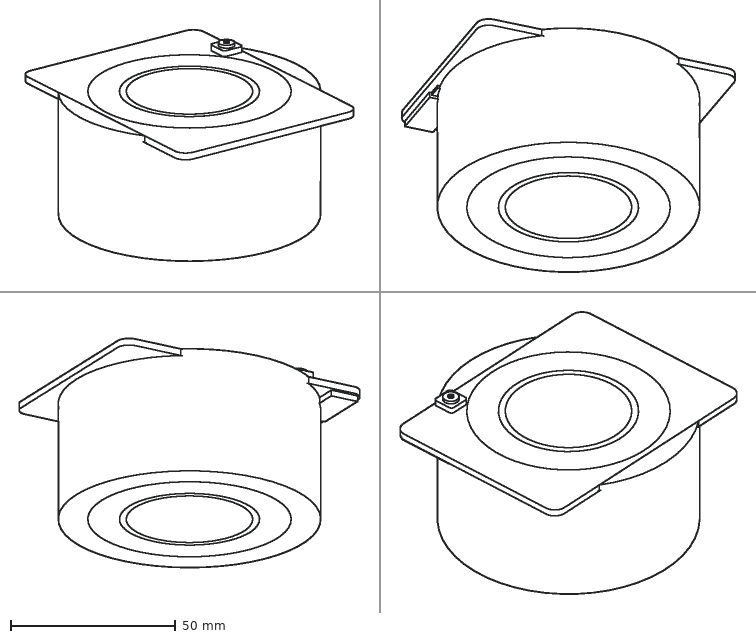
import cadquery as cq

drum_diameter = 80.0
drum_height = 40.0
bore_diameter = 62.0
ring_outer_diameter = 42.7
core_diameter = 38.5

plate_length = 85.0
plate_width = 66.0
plate_thickness = 2.2
plate_corner_radius = 4.0

large_block_x_end = -31.45
large_block_x_start = -40.7
large_block_y_start = 12.2
large_block_y_end = 31.7
large_block_depth = 1.9
small_block_x_start = -40.0
small_block_y_start = 7.6
small_block_depth = 0.9
small_block_x_end = -37.4

connector_x = -21.25
connector_y = 29.1
connector_side = 7.3
connector_corner_radius = 1.0
connector_base_height = 1.9
connector_cap_diameter = 5.0
connector_cap_height = 0.9
connector_tip_diameter = 1.8
connector_tip_height = 0.25
connector_socket_diameter = 0.9


def make_tube(outer_diameter, inner_diameter):
    """Full-height concentric tube with its top face at Z = 0."""
    return (
        cq.Workplane("XY")
        .circle(outer_diameter / 2)
        .circle(inner_diameter / 2)
        .extrude(-drum_height)
    )


def make_block(x_start, x_end, y_start, y_end, depth):
    """Rectangular block hanging from the underside of the plate."""
    return cq.Workplane("XY").box(
        x_end - x_start, y_end - y_start, depth, centered=False
    ).translate((x_start, y_start, -plate_thickness - depth))


def make_connector():
    """Square base with a round cap and a small hollow tip."""
    base = (
        cq.Workplane("XY")
        .rect(connector_side, connector_side)
        .extrude(connector_base_height)
        .edges("|Z")
        .fillet(connector_corner_radius)
    )
    return (
        base.faces(">Z").workplane()
        .circle(connector_cap_diameter / 2)
        .extrude(connector_cap_height)
        .faces(">Z").workplane()
        .circle(connector_tip_diameter / 2)
        .circle(connector_socket_diameter / 2)
        .extrude(connector_tip_height)
        .translate((connector_x, connector_y, 0))
    )


def make_board():
    """Mounting plate with a round opening, the connector on top and two blocks below."""
    plate = (
        cq.Workplane("XY")
        .rect(plate_length, plate_width)
        .extrude(-plate_thickness)
        .edges("|Z")
        .fillet(plate_corner_radius)
    )
    opening = cq.Workplane("XY").circle(bore_diameter / 2).extrude(-plate_thickness)
    large_block = make_block(
        large_block_x_start, large_block_x_end, large_block_y_start, large_block_y_end, large_block_depth
    )
    small_block = make_block(
        small_block_x_start, small_block_x_end, small_block_y_start, large_block_y_start, small_block_depth
    )
    return plate.cut(opening).union(make_connector()).union(large_block).union(small_block)


board = make_board()
drum = make_tube(drum_diameter, bore_diameter).cut(board)
sleeve = make_tube(bore_diameter, ring_outer_diameter)
ring = make_tube(ring_outer_diameter, core_diameter)
core = cq.Workplane("XY").circle(core_diameter / 2).extrude(-drum_height)

result = cq.Compound.makeCompound(
    [*board.solids().vals(), *drum.solids().vals(), sleeve.val(), ring.val(), core.val()]
)